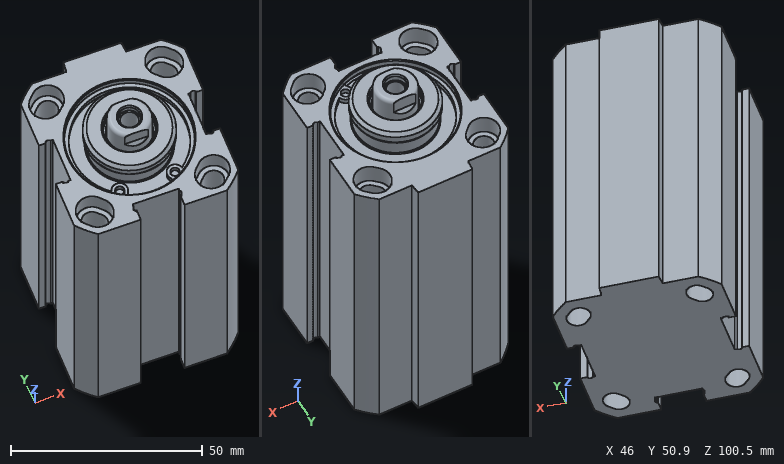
import cadquery as cq
import math

OVERALL_HEIGHT = 100.5

HOUSING_HEIGHT = 89.4
HOUSING_WIDTH = 46.0
HOUSING_DEPTH = 48.0
CORNER_CIRCLE_DIAMETER = 60.1
RIB_HEIGHT = 2.9
RIB_TIP_WIDTH = 16.2
RIB_BASE_WIDTH = 16.8

SLOT_FLOOR_DISTANCE = 19.0
SLOT_LIP_DISTANCE = 21.1
SLOT_MOUTH_WIDTH = 12.3
SLOT_FLOOR_WIDTH = 12.9
SLOT_RELIEF_DIAMETER = 1.6
SLOT_RELIEF_SPACING = 12.0
SLOT_DIRECTIONS = (0, 180, 270)

BOLT_X = 16.5
BOLT_Y = 17.5
BOLT_STRETCH = 1.6
BOLT_DIAMETER = 5.6
COUNTERBORE_DIAMETER = 8.5
COUNTERBORE_DEPTH = 5.8

BORE_DIAMETER = 34.1
BORE_CHAMFER = 0.3
FLANGE_TOP = 85.9
FLANGE_THICKNESS = 12.1
FLANGE_BOTTOM = FLANGE_TOP - FLANGE_THICKNESS
NECK_DIAMETER = 23.0
NECK_FOOT = 0.3
COLLAR_DIAMETER = 24.5
COLLAR_TOP = 94.6
COLLAR_CHAMFER = 1.0
COLLAR_BAND = 2.0
COLLAR_TAPER_HEIGHT = 1.3
WIPER_RECESS_DIAMETER = 14.0
WIPER_RECESS_DEPTH = 1.0
WIPER_RECESS_CHAMFER = 0.4
WIPER_SEAT_DIAMETER = 13.7
WIPER_SEAT_DEPTH = 2.0
THROAT_DIAMETER = 12.6
THROAT_DEPTH = 4.0

RING_OUTER_DIAMETER = 35.8
RING_INNER_DIAMETER = 31.8
RING_THICKNESS = 1.5
RING_TOP = FLANGE_TOP + RING_THICKNESS
EAR_RADIUS = 2.2
EAR_HOLE_DIAMETER = 2.5
EAR_X = 7.7
EAR_Y = -13.0
GAP_REACH = 2

ROD_DIAMETER = 12.0
ROD_END_FILLET = 1.2
FLATS_WIDTH = 9.9
FLATS_LENGTH = 4.3
TAPPED_DIAMETER = 4.9
TAPPED_DEPTH = 12.1
DRILL_POINT_ANGLE = 160.0
ROD_COUNTERBORE_DIAMETER = 5.9
ROD_COUNTERBORE_DEPTH = 2.0
ROD_COUNTERBORE_CHAMFER = 0.4


def cylinder(diameter, bottom, top):
    return cq.Workplane("XY").workplane(offset=bottom).circle(diameter / 2).extrude(top - bottom)


def turned(points):
    """Solid of revolution about Z from a closed (radius, height) outline."""
    return cq.Workplane("XZ").polyline(points).close().revolve(360, (0, 0, 0), (0, 1, 0))


def housing_profile():
    block = cq.Workplane("XY").rect(HOUSING_WIDTH, HOUSING_DEPTH).extrude(HOUSING_HEIGHT)
    block = block.intersect(cylinder(CORNER_CIRCLE_DIAMETER, 0, HOUSING_HEIGHT))
    rib_base = HOUSING_DEPTH / 2
    rib_tip = rib_base + RIB_HEIGHT
    rib = (
        cq.Workplane("XY")
        .polyline([
            (-RIB_BASE_WIDTH / 2, 0),
            (RIB_BASE_WIDTH / 2, 0),
            (RIB_BASE_WIDTH / 2, rib_base),
            (RIB_TIP_WIDTH / 2, rib_tip),
            (-RIB_TIP_WIDTH / 2, rib_tip),
            (-RIB_BASE_WIDTH / 2, rib_base),
        ])
        .close()
        .extrude(HOUSING_HEIGHT)
    )
    return block.union(rib)


def sensor_slot(direction):
    """T-shaped slot along the full height, opening toward the given angle about Z."""
    relief_radius = SLOT_RELIEF_DIAMETER / 2
    mouth_length = HOUSING_DEPTH / 2 - SLOT_FLOOR_DISTANCE
    undercut_length = SLOT_LIP_DISTANCE - SLOT_FLOOR_DISTANCE
    mouth = (
        cq.Workplane("XY")
        .center(SLOT_FLOOR_DISTANCE + mouth_length / 2, 0)
        .rect(mouth_length, SLOT_MOUTH_WIDTH)
        .extrude(HOUSING_HEIGHT)
    )
    undercut = (
        cq.Workplane("XY")
        .center(SLOT_FLOOR_DISTANCE + undercut_length / 2, 0)
        .rect(undercut_length, SLOT_FLOOR_WIDTH)
        .extrude(HOUSING_HEIGHT)
    )
    reliefs = (
        cq.Workplane("XY")
        .center(SLOT_LIP_DISTANCE - relief_radius, 0)
        .pushPoints([(0, -SLOT_RELIEF_SPACING / 2), (0, SLOT_RELIEF_SPACING / 2)])
        .circle(relief_radius)
        .extrude(HOUSING_HEIGHT)
    )
    slot = mouth.union(undercut).union(reliefs)
    return slot.rotate((0, 0, 0), (0, 0, 1), direction)


def bolt_hole(x_side, y_side):
    """Counterbored obround hole, stretched across the corner diagonal."""
    angle = -45 * x_side * y_side

    def obround(diameter, bottom):
        return (
            cq.Workplane("XY")
            .workplane(offset=bottom)
            .center(x_side * BOLT_X, y_side * BOLT_Y)
            .slot2D(diameter + BOLT_STRETCH, diameter, angle)
            .extrude(HOUSING_HEIGHT - bottom)
        )

    counterbore = obround(COUNTERBORE_DIAMETER, HOUSING_HEIGHT - COUNTERBORE_DEPTH)
    return obround(BOLT_DIAMETER, 0).union(counterbore)


def bore():
    """Blind bore with a chamfered mouth and the retaining ring groove."""
    bore_radius = BORE_DIAMETER / 2
    groove_radius = RING_OUTER_DIAMETER / 2
    return turned([
        (0, FLANGE_BOTTOM),
        (bore_radius, FLANGE_BOTTOM),
        (bore_radius, FLANGE_TOP),
        (groove_radius, FLANGE_TOP),
        (groove_radius, RING_TOP),
        (bore_radius, RING_TOP),
        (bore_radius, HOUSING_HEIGHT - BORE_CHAMFER),
        (bore_radius + BORE_CHAMFER, HOUSING_HEIGHT),
        (0, HOUSING_HEIGHT),
    ])


def make_housing():
    housing = housing_profile().cut(bore())
    for direction in SLOT_DIRECTIONS:
        housing = housing.cut(sensor_slot(direction))
    for x_side in (-1, 1):
        for y_side in (-1, 1):
            housing = housing.cut(bolt_hole(x_side, y_side))
    return housing


def make_front_cap():
    """Flange, neck and collar turned in one piece, with the rod hole and stepped wiper recess."""
    rod_radius = ROD_DIAMETER / 2
    neck_radius = NECK_DIAMETER / 2
    collar_radius = COLLAR_DIAMETER / 2
    recess_radius = WIPER_RECESS_DIAMETER / 2
    recess_floor = COLLAR_TOP - WIPER_RECESS_DEPTH
    seat_radius = WIPER_SEAT_DIAMETER / 2
    seat_floor = COLLAR_TOP - WIPER_SEAT_DEPTH
    throat_radius = THROAT_DIAMETER / 2
    throat_floor = COLLAR_TOP - THROAT_DEPTH
    band_top = COLLAR_TOP - COLLAR_CHAMFER
    band_bottom = band_top - COLLAR_BAND
    return turned([
        (rod_radius, FLANGE_BOTTOM),
        (BORE_DIAMETER / 2, FLANGE_BOTTOM),
        (BORE_DIAMETER / 2, FLANGE_TOP),
        (neck_radius + NECK_FOOT, FLANGE_TOP),
        (neck_radius, FLANGE_TOP + NECK_FOOT),
        (neck_radius, band_bottom - COLLAR_TAPER_HEIGHT),
        (collar_radius, band_bottom),
        (collar_radius, band_top),
        (collar_radius - COLLAR_CHAMFER, COLLAR_TOP),
        (recess_radius + WIPER_RECESS_CHAMFER, COLLAR_TOP),
        (recess_radius, COLLAR_TOP - WIPER_RECESS_CHAMFER),
        (recess_radius, recess_floor),
        (seat_radius, recess_floor),
        (seat_radius, seat_floor),
        (throat_radius, seat_floor),
        (throat_radius, throat_floor),
        (rod_radius, throat_floor),
    ])


def make_retaining_ring():
    """Open ring whose two ends carry ears with plier holes."""
    outer = cylinder(RING_OUTER_DIAMETER, FLANGE_TOP, RING_TOP)
    ring = outer.cut(cylinder(RING_INNER_DIAMETER, FLANGE_TOP, RING_TOP))
    gap = (
        cq.Workplane("XY")
        .workplane(offset=FLANGE_TOP)
        .polyline([(0, 0), (-GAP_REACH * EAR_X, GAP_REACH * EAR_Y), (GAP_REACH * EAR_X, GAP_REACH * EAR_Y)])
        .close()
        .extrude(RING_THICKNESS)
    )
    ring = ring.cut(gap)

    ear_distance = math.hypot(EAR_X, EAR_Y)
    shank_length = RING_OUTER_DIAMETER / 2 - ear_distance
    for side in (-1, 1):
        ear = (
            cq.Workplane("XY")
            .workplane(offset=FLANGE_TOP)
            .center(ear_distance + shank_length / 2, 0)
            .rect(shank_length, 2 * EAR_RADIUS)
            .extrude(RING_THICKNESS)
            .intersect(outer)
            .union(cylinder(2 * EAR_RADIUS, FLANGE_TOP, RING_TOP).translate((ear_distance, 0, 0)))
        )
        ear_angle = math.degrees(math.atan2(EAR_Y, side * EAR_X))
        plier_hole = cylinder(EAR_HOLE_DIAMETER, FLANGE_TOP, RING_TOP).translate((side * EAR_X, EAR_Y, 0))
        ring = ring.union(ear.rotate((0, 0, 0), (0, 0, 1), ear_angle)).cut(plier_hole)
    return ring


def wrench_flat():
    """Material removed above the +Y flat, running out at 45 degrees at its foot."""
    flat = FLATS_WIDTH / 2
    clear = ROD_DIAMETER
    foot = OVERALL_HEIGHT - FLATS_LENGTH
    return (
        cq.Workplane("YZ")
        .polyline([
            (flat, OVERALL_HEIGHT),
            (flat, foot),
            (clear, foot - (clear - flat)),
            (clear, OVERALL_HEIGHT),
        ])
        .close()
        .extrude(ROD_DIAMETER / 2, both=True)
    )


def rod_end_hole():
    """Tapped hole with a counterbore and a conical drill point."""
    tapped_radius = TAPPED_DIAMETER / 2
    counterbore_radius = ROD_COUNTERBORE_DIAMETER / 2
    tapped_bottom = OVERALL_HEIGHT - TAPPED_DEPTH
    counterbore_floor = OVERALL_HEIGHT - ROD_COUNTERBORE_DEPTH
    point_height = tapped_radius / math.tan(math.radians(DRILL_POINT_ANGLE / 2))
    return turned([
        (0, tapped_bottom - point_height),
        (tapped_radius, tapped_bottom),
        (tapped_radius, counterbore_floor),
        (counterbore_radius, counterbore_floor),
        (counterbore_radius, OVERALL_HEIGHT - ROD_COUNTERBORE_CHAMFER),
        (counterbore_radius + ROD_COUNTERBORE_CHAMFER, OVERALL_HEIGHT),
        (0, OVERALL_HEIGHT),
    ])


def make_piston_rod():
    rod = cylinder(ROD_DIAMETER, FLANGE_BOTTOM, OVERALL_HEIGHT)
    rod = rod.faces(">Z").edges().fillet(ROD_END_FILLET)
    flat = wrench_flat()
    return rod.cut(flat).cut(flat.mirror("XZ")).cut(rod_end_hole())


housing = make_housing()
front_cap = make_front_cap()
retaining_ring = make_retaining_ring()
piston_rod = make_piston_rod()

result = cq.Compound.makeCompound([
    housing.solids().val(),
    front_cap.solids().val(),
    retaining_ring.solids().val(),
    piston_rod.solids().val(),
])